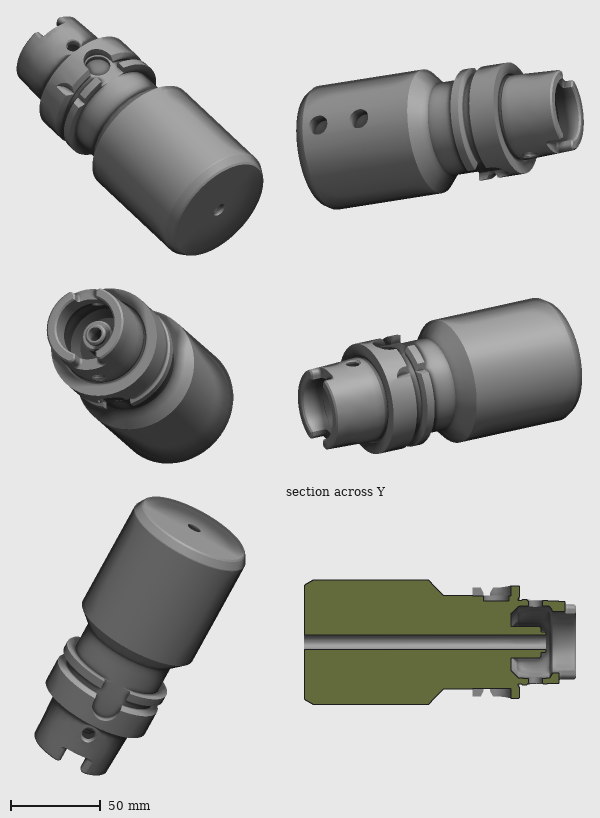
import cadquery as cq
import math

LENGTH = 152.0
EPS = 1.5

MOUTH_RADIUS = 22.8
SHANK_RADIUS = 48.0 / 2
SHANK_END = 30.0
MOUTH_CHAMFER = 0.9
RELIEF_START = 30.9
RELIEF_RADIUS = 23.4
RELIEF_FLOOR_RADIUS = 24.3
RELIEF_FACE_RADIUS = 25.2
RELIEF_DEPTH = 0.8

FLANGE_START = 31.6
FLANGE_END = 57.8
FLANGE_RADIUS = 63.0 / 2
GROOVE_RADIUS = 27.0
GROOVE_START = 48.2
GROOVE_END = 51.8
FRONT_BEVEL_LENGTH = 1.8
FRONT_BEVEL_DROP = 3.0
REAR_BEVEL_LENGTH = 1.4
REAR_BEVEL_DROP = 2.6

NECK_RADIUS = 52.5 / 2
NECK_END = 74.0
BODY_START = 82.7
BODY_RADIUS = 70.0 / 2
BODY_END = 146.5
NOSE_ANGLE = 30.0
NOSE_SHOULDER = 0.5
NOSE_EDGE = 0.9

BORE_RADIUS = 34.0 / 2
CHAMBER_RADIUS = 40.0 / 2
CHAMBER_START = 13.2
CHAMBER_ANGLE = 60.0
CHAMBER_END = 36.5
FLOOR_RADIUS = 15.8

NUT_START = 19.6
NUT_RADIUS = 18.0 / 2
NUT_FACE_RADIUS = 16.0 / 2
TUBE_START = 16.7
TUBE_RADIUS = 12.0 / 2
TUBE_TIP_RADIUS = 5.0
COOLANT_DIAMETER = 8.0

DRIVE_HALF_WIDTH = 6.1
DRIVE_FLARE_RADIUS = 2.7
DRIVE_FLARE_START = 18.1
DRIVE_FLOOR_FILLET = 1.5
DRIVE_DEPTH_TOP = 6.1
DRIVE_DEPTH_BOTTOM = 9.5

ACCESS_X = 22.8
ACCESS_DIAMETER = 7.5
ACCESS_SINK_DIAMETER = 9.3

KEYWAY_WIDTH = 16.0
KEYWAY_CENTER = 44.7
KEYWAY_FLOOR = 26.0
POCKET_DIAMETER = 14.0
POCKET_DEPTH = 2.7
NOTCH_CORNER = 19.9

SCREW_DIAMETER = 11.2
SCREW_DEPTH = 9.1
SCREW_POSITIONS = (112.2, 137.1)


def revolve_profile(points):
    """Turn a closed (x, radius) outline about the X axis."""
    return cq.Workplane("XY").polyline(points).close().revolve(360, (0, 0, 0), (1, 0, 0))


def make_outside():
    nose_start = BODY_END + NOSE_SHOULDER
    nose_end = LENGTH - NOSE_EDGE
    slope = math.tan(math.radians(NOSE_ANGLE))
    nose_start_radius = BODY_RADIUS - NOSE_SHOULDER * slope / 2
    nose_end_radius = nose_start_radius - (nose_end - nose_start) * slope
    relief_floor = FLANGE_START + RELIEF_DEPTH
    return revolve_profile([
        (0, 0),
        (0, MOUTH_RADIUS),
        (SHANK_END, SHANK_RADIUS),
        (RELIEF_START, RELIEF_RADIUS),
        (relief_floor, RELIEF_RADIUS),
        (relief_floor, RELIEF_FLOOR_RADIUS),
        (FLANGE_START, RELIEF_FACE_RADIUS),
        (FLANGE_START, FLANGE_RADIUS),
        (GROOVE_START - FRONT_BEVEL_LENGTH, FLANGE_RADIUS),
        (GROOVE_START, FLANGE_RADIUS - FRONT_BEVEL_DROP),
        (GROOVE_START, GROOVE_RADIUS),
        (GROOVE_END, GROOVE_RADIUS),
        (GROOVE_END, FLANGE_RADIUS - REAR_BEVEL_DROP),
        (GROOVE_END + REAR_BEVEL_LENGTH, FLANGE_RADIUS),
        (FLANGE_END, FLANGE_RADIUS),
        (FLANGE_END, NECK_RADIUS),
        (NECK_END, NECK_RADIUS),
        (BODY_START, BODY_RADIUS),
        (BODY_END, BODY_RADIUS),
        (nose_start, nose_start_radius),
        (nose_end, nose_end_radius),
        (LENGTH, nose_end_radius - NOSE_EDGE),
        (LENGTH, 0),
    ])


def make_bore():
    """Space inside the shank, running around the coolant nut and tube."""
    chamber_step = CHAMBER_RADIUS - BORE_RADIUS
    chamber_full = CHAMBER_START + chamber_step / math.tan(math.radians(CHAMBER_ANGLE))
    floor_bevel = CHAMBER_RADIUS - FLOOR_RADIUS
    nut_chamfer = NUT_RADIUS - NUT_FACE_RADIUS
    tube_chamfer = TUBE_RADIUS - TUBE_TIP_RADIUS
    return revolve_profile([
        (0, 0),
        (0, BORE_RADIUS),
        (CHAMBER_START, BORE_RADIUS),
        (chamber_full, CHAMBER_RADIUS),
        (CHAMBER_END - floor_bevel, CHAMBER_RADIUS),
        (CHAMBER_END, FLOOR_RADIUS),
        (CHAMBER_END, NUT_RADIUS),
        (NUT_START + nut_chamfer, NUT_RADIUS),
        (NUT_START, NUT_FACE_RADIUS),
        (NUT_START, TUBE_RADIUS),
        (TUBE_START + tube_chamfer, TUBE_RADIUS),
        (TUBE_START, TUBE_TIP_RADIUS),
        (TUBE_START, 0),
    ])


def make_drive_slot(depth):
    """Mouth slot toward +Z whose walls flare outward near the outer surface."""
    flare_center = DRIVE_HALF_WIDTH + DRIVE_FLARE_RADIUS
    flare_top = DRIVE_FLARE_START + DRIVE_FLARE_RADIUS
    arc_middle = DRIVE_FLARE_RADIUS * math.sin(math.radians(45))
    outer_y = flare_center + 2 * EPS
    outer_z = MOUTH_RADIUS + 2 * EPS
    middle_y = flare_center - arc_middle
    middle_z = DRIVE_FLARE_START + arc_middle
    inner_z = NUT_RADIUS + EPS
    return (
        cq.Workplane("YZ", origin=(-EPS, 0, 0))
        .moveTo(-DRIVE_HALF_WIDTH, inner_z)
        .lineTo(DRIVE_HALF_WIDTH, inner_z)
        .lineTo(DRIVE_HALF_WIDTH, DRIVE_FLARE_START)
        .threePointArc((middle_y, middle_z), (flare_center, flare_top))
        .lineTo(outer_y, flare_top)
        .lineTo(outer_y, outer_z)
        .lineTo(-outer_y, outer_z)
        .lineTo(-outer_y, flare_top)
        .lineTo(-flare_center, flare_top)
        .threePointArc((-middle_y, middle_z), (-DRIVE_HALF_WIDTH, DRIVE_FLARE_START))
        .close()
        .extrude(depth + EPS)
        .faces(">X")
        .edges()
        .fillet(DRIVE_FLOOR_FILLET)
    )


def make_access_hole():
    """Countersunk hole through the +Z wall of the shank into the bore."""
    surface = MOUTH_RADIUS + (SHANK_RADIUS - MOUTH_RADIUS) * ACCESS_X / SHANK_END
    sink_depth = (ACCESS_SINK_DIAMETER - ACCESS_DIAMETER) / 2
    hole_radius = ACCESS_DIAMETER / 2
    sink_radius = ACCESS_SINK_DIAMETER / 2
    inner = NUT_RADIUS + EPS
    outline = [
        (0, inner),
        (hole_radius, inner),
        (hole_radius, surface - sink_depth),
        (sink_radius, surface),
        (sink_radius, surface + EPS),
        (0, surface + EPS),
    ]
    hole = cq.Workplane("XZ").polyline(outline).close().revolve(360, (0, 0, 0), (0, 1, 0))
    return hole.translate((ACCESS_X, 0, 0))


def make_round_end_slot(center_y, floor_z):
    """Slot with a round end, open toward the neck and toward +Z."""
    height = FLANGE_RADIUS + EPS - floor_z
    run_length = FLANGE_END - KEYWAY_CENTER
    plane = cq.Workplane("XY", origin=(KEYWAY_CENTER, center_y, floor_z))
    end = plane.circle(KEYWAY_WIDTH / 2).extrude(height)
    run = plane.center(run_length / 2, 0).rect(run_length, KEYWAY_WIDTH).extrude(height)
    return end.union(run)


def opposite(cutter):
    """The same cutter turned half a revolution about the X axis."""
    return cutter.rotate((0, 0, 0), (1, 0, 0), 180)


result = make_outside().cut(make_bore())

result = result.cut(make_drive_slot(DRIVE_DEPTH_TOP))
result = result.cut(opposite(make_drive_slot(DRIVE_DEPTH_BOTTOM)))
result = result.faces("<X").edges().chamfer(MOUTH_CHAMFER)

access_hole = make_access_hole()
result = result.cut(access_hole).cut(opposite(access_hole))

keyway = make_round_end_slot(0, KEYWAY_FLOOR)
result = result.cut(keyway).cut(opposite(keyway))

notch = make_round_end_slot(-NOTCH_CORNER - KEYWAY_WIDTH / 2, NOTCH_CORNER)
result = result.cut(notch)

pocket = (
    cq.Workplane("XY", origin=(KEYWAY_CENTER, 0, KEYWAY_FLOOR - POCKET_DEPTH))
    .circle(POCKET_DIAMETER / 2)
    .extrude(POCKET_DEPTH + EPS)
)
result = result.cut(pocket)

for screw_x in SCREW_POSITIONS:
    screw_hole = (
        cq.Workplane("XZ", origin=(screw_x, BODY_RADIUS + EPS, 0))
        .circle(SCREW_DIAMETER / 2)
        .extrude(SCREW_DEPTH + EPS)
    )
    result = result.cut(screw_hole)

coolant_hole = cq.Workplane("YZ").circle(COOLANT_DIAMETER / 2).extrude(LENGTH)
result = result.cut(coolant_hole)